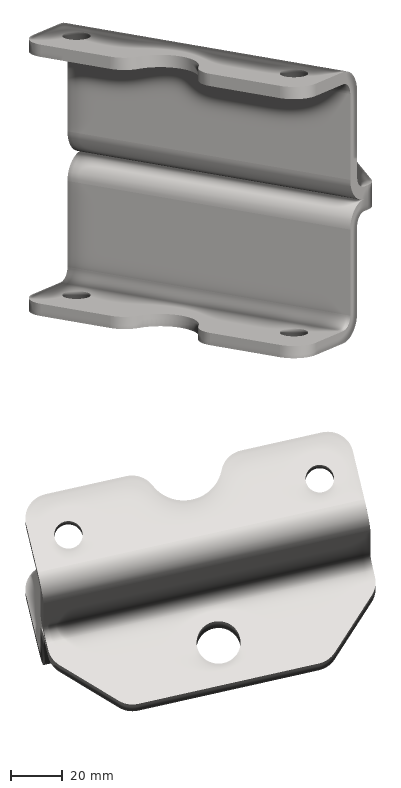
import cadquery as cq

width = 130.0
bracket_height = 54.6
thickness = 5.0
tab_reach = 42.0
flange_reach = 35.0
outer_bend_radius = 10.0

corner_radius = 10.0
tab_chamfer = 25.0
notch_radius = 15.0
tab_hole_diameter = 17.0
tab_hole_edge_distance = 17.0
flange_hole_diameter = 11.0
flange_hole_spacing = 100.0
flange_hole_edge_distance = 18.0

tab_edge = tab_reach
flange_edge = -flange_reach


def bent_strip():
    """Constant-thickness Z-shaped section: rear tab, upright web and front flange."""
    flange_underside = bracket_height - thickness
    web_back = thickness
    lower_bend_start = outer_bend_radius
    upper_bend_end = thickness - outer_bend_radius
    upper_bend_base = bracket_height - outer_bend_radius
    return (
        cq.Workplane("YZ")
        .moveTo(tab_edge, 0)
        .lineTo(lower_bend_start, 0)
        .tangentArcPoint((0, outer_bend_radius), relative=False)
        .lineTo(0, upper_bend_base)
        .tangentArcPoint((upper_bend_end, flange_underside), relative=False)
        .lineTo(flange_edge, flange_underside)
        .lineTo(flange_edge, bracket_height)
        .lineTo(upper_bend_end, bracket_height)
        .tangentArcPoint((web_back, upper_bend_base), relative=False)
        .lineTo(web_back, outer_bend_radius)
        .tangentArcPoint((lower_bend_start, thickness), relative=False)
        .lineTo(tab_edge, thickness)
        .close()
        .extrude(width / 2, both=True)
    )


def plan_blank():
    """Plan shape of a bracket: chamfered tab end, notched flange edge and rounded corners."""
    blank = (
        cq.Workplane("XY")
        .center(0, (tab_edge + flange_edge) / 2)
        .rect(width, tab_edge - flange_edge)
        .extrude(bracket_height)
        .edges("|Z and >Y")
        .chamfer(tab_chamfer)
    )
    notch = (
        cq.Workplane("XY")
        .center(0, flange_edge)
        .circle(notch_radius)
        .extrude(bracket_height)
    )
    return blank.cut(notch).edges("|Z").fillet(corner_radius)


def hole_cutters():
    """One large hole in the tab and a pair of small holes in the flange."""
    tab_hole = (
        cq.Workplane("XY")
        .center(0, tab_edge - tab_hole_edge_distance)
        .circle(tab_hole_diameter / 2)
        .extrude(bracket_height)
    )
    flange_holes = (
        cq.Workplane("XY")
        .center(0, flange_edge + flange_hole_edge_distance)
        .pushPoints([(side * flange_hole_spacing / 2, 0) for side in (-1, 1)])
        .circle(flange_hole_diameter / 2)
        .extrude(bracket_height)
    )
    return tab_hole.add(flange_holes).combine()


def make_bracket(inverted):
    """One bent bracket above the joint plane, or its mirror image below it."""
    bracket = bent_strip().intersect(plan_blank()).cut(hole_cutters())
    return bracket.mirror("XY") if inverted else bracket


brackets = [make_bracket(inverted).val() for inverted in (False, True)]

result = cq.Compound.makeCompound(brackets)